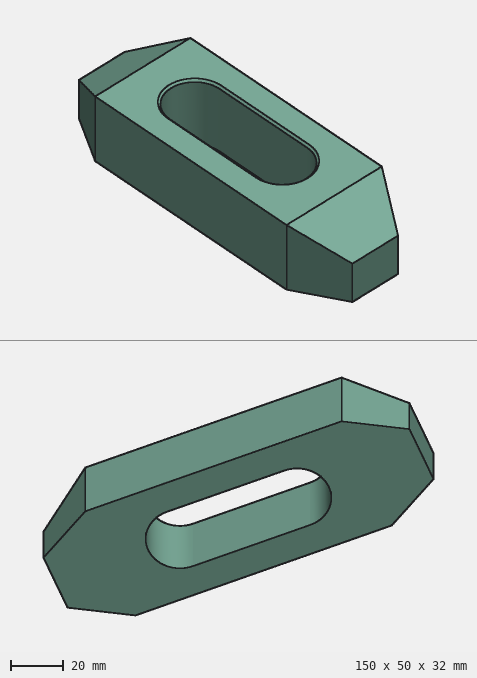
import cadquery as cq
import math

length = 150.0
width = 50.0
height = 32.0

taper_inset = 13.0
taper_angle = 30.0
taper_length = taper_inset / math.tan(math.radians(taper_angle))

slot_length = 74.0
slot_width = 26.0
slot_chamfer = 1.0

half_length = length / 2
half_width = width / 2
shoulder_x = half_length - taper_length
nose_half_width = half_width - taper_inset
nose_height = height - taper_inset


def plan_prism():
    """Plan outline, both ends narrowing to a flat nose, extruded to full height."""
    return (
        cq.Workplane("XY")
        .moveTo(-half_length, -nose_half_width)
        .lineTo(-shoulder_x, -half_width)
        .lineTo(shoulder_x, -half_width)
        .lineTo(half_length, -nose_half_width)
        .lineTo(half_length, nose_half_width)
        .lineTo(shoulder_x, half_width)
        .lineTo(-shoulder_x, half_width)
        .lineTo(-half_length, nose_half_width)
        .close()
        .extrude(height)
    )


def side_prism():
    """Side profile, the top sloping down to each nose, extruded to full width."""
    return (
        cq.Workplane("XZ")
        .moveTo(-half_length, 0)
        .lineTo(half_length, 0)
        .lineTo(half_length, nose_height)
        .lineTo(shoulder_x, height)
        .lineTo(-shoulder_x, height)
        .lineTo(-half_length, nose_height)
        .close()
        .extrude(half_width, both=True)
    )


def cut_slot(body):
    """Cut the round-ended slot through the body and chamfer its upper rim."""
    slot = cq.Workplane("XY").slot2D(slot_length, slot_width).extrude(height)
    slotted = body.cut(slot)
    rim = slotted.faces(">Z").wires(cq.selectors.LengthNthSelector(0))
    return rim.chamfer(slot_chamfer)


result = cut_slot(plan_prism().intersect(side_prism()))